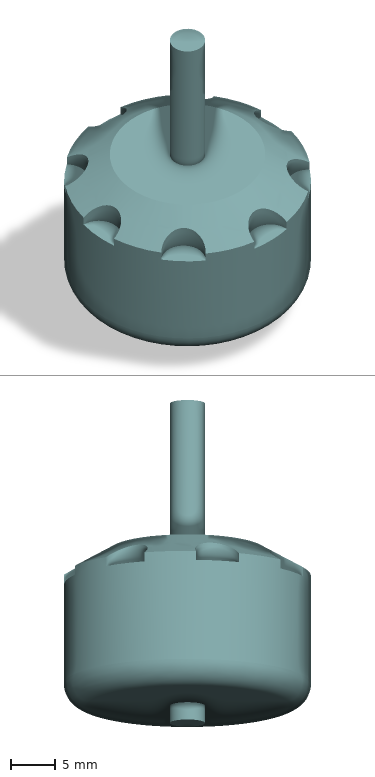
import cadquery as cq
import math

total_height = 37.0
shaft_diameter = 4.0
body_radius = 28.0 / 2

body_bottom = 2.0
body_top = 20.0
bevel_height = 3.0
bevel_angle = 30.0
bottom_fillet = 2.5

notch_count = 8
notch_radius = 2.5
notch_center_radius = 13.75
notch_floor = 16.0


def make_body():
    """Cylindrical can with a conical shoulder and a rounded bottom edge."""
    bevel_width = bevel_height / math.tan(math.radians(bevel_angle))
    profile = (
        cq.Workplane("XZ")
        .moveTo(0, body_bottom)
        .lineTo(body_radius - bottom_fillet, body_bottom)
        .radiusArc((body_radius, body_bottom + bottom_fillet), -bottom_fillet)
        .lineTo(body_radius, body_top - bevel_height)
        .lineTo(body_radius - bevel_width, body_top)
        .lineTo(0, body_top)
        .close()
    )
    return profile.revolve(360, (0, 0, 0), (0, 1, 0))


def make_notches():
    """Vertical round cutters spaced evenly around the shoulder."""
    return (
        cq.Workplane("XY", origin=(0, 0, notch_floor))
        .polarArray(notch_center_radius, 0, 360, notch_count)
        .circle(notch_radius)
        .extrude(body_top - notch_floor)
    )


shaft = cq.Workplane("XY").circle(shaft_diameter / 2).extrude(total_height)
result = make_body().cut(make_notches()).union(shaft)